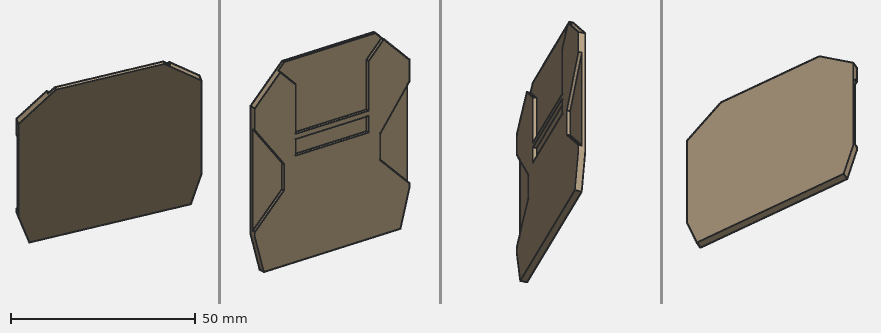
import cadquery as cq

thickness = 2.0
width = 52.0
height = 60.6
half_width = width / 2

bottom_half_width = 22.95
lower_shoulder_z = 11.45
upper_shoulder_z = 50.05
top_half_width = 15.4

recess_depth = 1.0
side_recess_depth = 0.95

window_half_width = 12.25
window_floor_z = 38.55
flare_start_z = 53.45
flare_rise = height - flare_start_z

slot_bottom_z = 32.0
slot_top_z = 36.95

side_inner_y = 16.2
side_inner_bottom_z = 22.65
side_inner_top_z = 30.6
side_outer_bottom_z = 12.9
side_outer_top_z = 43.5


def prism(points, depth):
    """Extrude a closed (Y, Z) polygon from the -X face towards +X."""
    return cq.Workplane("YZ").polyline(points).close().extrude(depth)


def symmetric_outline(right_half):
    """Complete a bottom-to-top right half with its mirror image about Y = 0."""
    return right_half + [(-y, z) for y, z in reversed(right_half)]


plate = prism(
    symmetric_outline([
        (bottom_half_width, 0),
        (half_width, lower_shoulder_z),
        (half_width, upper_shoulder_z),
        (top_half_width, height),
    ]),
    thickness,
)

upper_recess = prism(
    symmetric_outline([
        (window_half_width, window_floor_z),
        (window_half_width, flare_start_z),
        (window_half_width + flare_rise, height),
    ]),
    recess_depth,
)

label_slot = prism(
    symmetric_outline([
        (window_half_width, slot_bottom_z),
        (window_half_width, slot_top_z),
    ]),
    recess_depth,
)

result = plate.cut(upper_recess).cut(label_slot)

for side in (-1, 1):
    side_recess = prism(
        [
            (side * half_width, side_outer_bottom_z),
            (side * side_inner_y, side_inner_bottom_z),
            (side * side_inner_y, side_inner_top_z),
            (side * half_width, side_outer_top_z),
        ],
        side_recess_depth,
    )
    result = result.cut(side_recess)